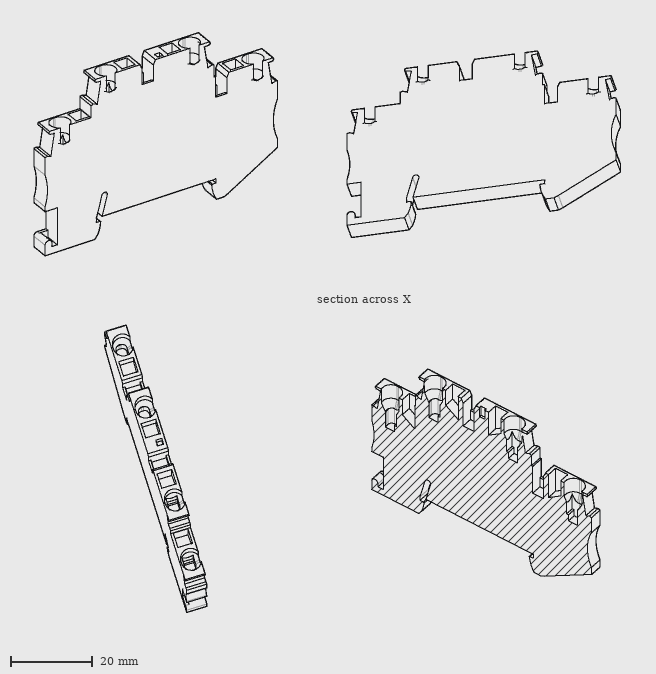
import cadquery as cq
import math

thickness = 5.15
length = 67.55
height = 45.85
y_end = length / 2

upper_top = height
lower_top = 35.28
upper_back_y = 15.34
upper_front_y = -20.43
lower_shoulder = 1.68
upper_shoulder = 1.82

lip_inset = 1.3
lip_tip_inset = 1.08
lip_tip_drop = 0.5
lip_base_inset = 1.4
lip_base_drop = 0.9
waist_top_inset = 0.98
waist_top_drop = 1.05
waist_bottom_drop = 7.3
crest_inset = 0.6
crest_drop = 6.88
ledge_drop = 7.12

slot_width = 3.25
slot_depth = 5.9
slot_chamfer_y = 0.61
slot_chamfer_z = 1.35
lower_slot_y = 15.76
upper_slot_y = -5.58
slot_rim = 0.63
slot_pocket_depth = 3.0

hollow_top_z = 23.15
back_hollow_bottom_z = 11.6
back_hollow_sag = 1.22
front_hollow_bottom_z = 14.05
front_hollow_sag = 0.7
back_face_bottom_z = 9.15
notch_top_z = 12.65
notch_bottom_z = 4.05
notch_depth = 3.53
notch_round = 1.0
gutter_wall = 0.9
gutter_depth = 2.0

seat_z = 5.92
seat_back_y = 15.86
seat_front_y = -18.85
hook_z = 4.75
hook_reach = 1.25
hook_lip_z = 4.55
back_toe_y = 16.05
back_heel_y = 18.2
heel_round_y = 1.1
heel_round_z = 0.55
front_toe_y = -19.3
hook_bulge_y = 0.25
hook_bulge_z = 2.9
toe_bevel_y = 0.9
toe_bevel_z = 1.25
slit_radius = 0.8
slit_center_y = -16.5
slit_center_z = 11.83
slit_lean = math.radians(14.5)

entry_x = 2.88
entry_radius = 2.5
entry_straight = 0.5
entry_depth = 4.5
funnel_depth = 2.5
tunnel_x = 2.64
tunnel_width = 2.77
tunnel_round_reach = 1.5
tunnel_flat_reach = 1.89
tunnel_depth = 12.0
tunnel_step = 0.6
tunnel_step_depth = 10.0
tunnel_corner = 1.1

driver_x = 2.56
driver_size = 3.75
driver_wall_depth = 5.0
driver_floor_angle = math.radians(35)
test_x = 3.66
test_y = 0.18
test_size = 1.5
test_depth = 3.0

terminals = [
    (lower_top, 28.05, 22.47, 1),
    (upper_top, 9.6, 4.08, 1),
    (upper_top, -14.7, -9.08, -1),
    (lower_top, -28.05, -22.4, -1),
]


def terrace_end(face_y, outward, top, shoulder):
    """Points from the top of a lip down to the end face; outward is +1 or -1 along Y."""
    profile = [
        (lip_inset, 0),
        (lip_tip_inset, lip_tip_drop),
        (lip_base_inset, lip_base_drop),
        (shoulder + waist_top_inset, waist_top_drop),
        (shoulder, waist_bottom_drop),
        (crest_inset, crest_drop),
        (0, ledge_drop),
    ]
    return [(face_y - outward * inset, top - drop) for inset, drop in profile]


def add_lines(outline, points):
    for point in points:
        outline = outline.lineTo(*point)
    return outline


def slot_points(low_y, top):
    """Slot from its chamfered +Y wall across the floor to the foot of its -Y wall."""
    high_y = low_y + slot_width
    return [
        (high_y + slot_chamfer_y, top),
        (high_y, top - slot_chamfer_z),
        (high_y, top - slot_depth),
        (low_y, top - slot_depth),
    ]


def top_outline():
    """Terraced upper edge, from the +Y end face to the -Y end face."""
    points = terrace_end(y_end, 1, lower_top, lower_shoulder)[::-1]
    points += slot_points(lower_slot_y, lower_top)
    points += [(lower_slot_y, lower_top), (upper_back_y, lower_top)]
    points += terrace_end(upper_back_y, 1, upper_top, upper_shoulder)[::-1]
    points += slot_points(upper_slot_y, upper_top)
    points += [(upper_slot_y, upper_top - slot_chamfer_z), (upper_slot_y - slot_chamfer_y, upper_top)]
    points += terrace_end(upper_front_y, -1, upper_top, upper_shoulder)
    points += [(upper_front_y, lower_top)]
    points += terrace_end(-y_end, -1, lower_top, lower_shoulder)
    return points


def make_body():
    notch_y = notch_depth - y_end
    front_hook_y = seat_front_y + hook_reach
    back_hook_y = seat_back_y - hook_reach
    front_hollow_mid = (front_hollow_sag - y_end, (hollow_top_z + front_hollow_bottom_z) / 2)
    back_hollow_mid = (y_end - back_hollow_sag, (hollow_top_z + back_hollow_bottom_z) / 2)
    round_offset = notch_round * (1 - math.sqrt(0.5))

    across_y = slit_radius * math.cos(slit_lean)
    across_z = slit_radius * math.sin(slit_lean)
    slit_front = (slit_center_y - across_y, slit_center_z + across_z)
    slit_back = (slit_center_y + across_y, slit_center_z - across_z)
    slit_tip = (slit_center_y + across_z, slit_center_z + across_y)
    slit_mouth_y = slit_back[0] - (slit_back[1] - seat_z) * math.tan(slit_lean)

    outline = cq.Workplane("YZ").moveTo(y_end, hollow_top_z)
    outline = add_lines(outline, top_outline())

    outline = outline.lineTo(-y_end, hollow_top_z)
    outline = outline.threePointArc(front_hollow_mid, (-y_end, front_hollow_bottom_z))
    outline = add_lines(outline, [
        (-y_end, notch_top_z),
        (notch_y, notch_top_z),
        (notch_y, notch_bottom_z),
        (notch_round - y_end, notch_bottom_z),
    ])
    outline = outline.threePointArc(
        (round_offset - y_end, notch_bottom_z - round_offset), (-y_end, notch_bottom_z - notch_round)
    )

    outline = add_lines(outline, [
        (-y_end, 0),
        (front_toe_y, 0),
        (front_toe_y + toe_bevel_y, toe_bevel_z),
    ])
    outline = outline.threePointArc((front_hook_y - hook_bulge_y, hook_bulge_z), (front_hook_y, hook_lip_z))
    outline = add_lines(outline, [
        (front_hook_y - hook_bulge_y, hook_z),
        (seat_front_y, hook_z),
        (seat_front_y, seat_z),
        slit_front,
    ])
    outline = outline.threePointArc(slit_tip, slit_back)

    outline = add_lines(outline, [
        (slit_mouth_y, seat_z),
        (seat_back_y, seat_z),
        (seat_back_y, hook_z),
        (back_hook_y + hook_bulge_y, hook_z),
        (back_hook_y, hook_lip_z),
    ])
    outline = outline.threePointArc((back_hook_y + hook_bulge_y, hook_bulge_z), (back_toe_y, 0))

    outline = add_lines(outline, [
        (back_heel_y, 0),
        (back_heel_y + heel_round_y, heel_round_z),
        (y_end, back_face_bottom_z),
        (y_end, back_hollow_bottom_z),
    ])
    outline = outline.threePointArc(back_hollow_mid, (y_end, hollow_top_z))
    return outline.close().extrude(thickness)


def pocket(x, y, top, size_x, size_y, depth):
    return cq.Workplane("XY").box(size_x, size_y, depth, centered=(True, True, False)).translate(
        (x, y, top - depth)
    )


def wire_tunnel(top, y, rounded_side, flat_reach, depth):
    """Tunnel with rounded corners on one side and a flat wall on the other."""
    span = tunnel_round_reach + flat_reach
    center_y = y + rounded_side * (tunnel_round_reach - flat_reach) / 2
    corner_edges = "|Z and >Y" if rounded_side > 0 else "|Z and <Y"
    tunnel = pocket(tunnel_x, center_y, top, tunnel_width, span, depth)
    return tunnel.edges(corner_edges).fillet(tunnel_corner)


def wire_entry(top, y, rounded_side):
    """Oblong mouth breaking out of the +X side, funnel below it, then a stepped tunnel."""
    mouth_length = entry_straight + 2 * entry_radius
    throat_radius = tunnel_width / 2
    mouth = (
        cq.Workplane("XY", origin=(entry_x, y, top))
        .slot2D(mouth_length, 2 * entry_radius, 90)
        .extrude(-entry_depth)
    )
    funnel = (
        cq.Workplane("XY", origin=(entry_x, y, top - entry_depth))
        .slot2D(mouth_length, 2 * entry_radius, 90)
        .workplane(offset=-funnel_depth)
        .center(tunnel_x - entry_x, 0)
        .slot2D(entry_straight + 2 * throat_radius, 2 * throat_radius, 90)
        .loft()
    )
    shallow = wire_tunnel(top, y, rounded_side, tunnel_flat_reach, tunnel_step_depth)
    deep = wire_tunnel(top, y, rounded_side, tunnel_flat_reach - tunnel_step, tunnel_depth)
    return mouth.union(funnel).union(shallow).union(deep)


def driver_pocket(top, y, rounded_side):
    """Square pocket whose sloping floor drops away from the wire entry beside it."""
    near = y + rounded_side * driver_size / 2
    far = y - rounded_side * driver_size / 2
    near_z = top - driver_wall_depth
    far_z = near_z - driver_size * math.tan(driver_floor_angle)
    section = [(near, top), (near, near_z), (far, far_z), (far, top)]
    start_x = driver_x - driver_size / 2
    return cq.Workplane("YZ", origin=(start_x, 0, 0)).polyline(section).close().extrude(driver_size)


def slot_pocket(low_y, top):
    """Recess in a bridge slot's floor that leaves a thin rim along both sides."""
    return pocket(
        thickness / 2,
        low_y + slot_width / 2,
        top - slot_depth,
        thickness - 2 * slot_rim,
        slot_width,
        slot_pocket_depth,
    )


def notch_gutter():
    """Gutter behind the rounded ridge of the notch, open on the +X side."""
    ridge_back_y = 2 * notch_round - y_end
    notch_y = notch_depth - y_end
    ridge_axis = (notch_round - y_end, notch_bottom_z - notch_round)
    gutter_bottom_z = notch_bottom_z - gutter_depth
    offset = notch_round * math.sqrt(0.5)
    section = (
        cq.Workplane("YZ", origin=(gutter_wall, 0, 0))
        .moveTo(ridge_axis[0], notch_bottom_z)
        .threePointArc((ridge_axis[0] + offset, ridge_axis[1] + offset), (ridge_back_y, ridge_axis[1]))
        .lineTo(ridge_back_y, gutter_bottom_z)
        .lineTo(notch_y, gutter_bottom_z)
        .lineTo(notch_y, notch_bottom_z)
        .close()
    )
    return section.extrude(thickness - gutter_wall)


result = make_body().cut(notch_gutter())
for level, entry_y, driver_y, side in terminals:
    result = result.cut(wire_entry(level, entry_y, side))
    result = result.cut(driver_pocket(level, driver_y, side))
result = result.cut(slot_pocket(lower_slot_y, lower_top))
result = result.cut(slot_pocket(upper_slot_y, upper_top))
result = result.cut(pocket(test_x, test_y, upper_top, test_size, test_size, test_depth))